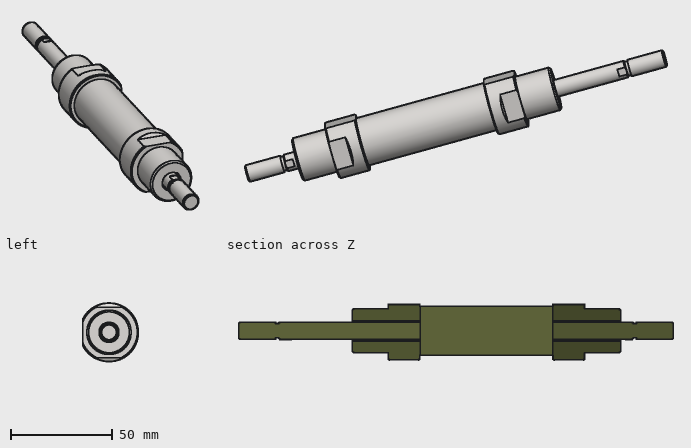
import cadquery as cq
import math

OVERALL_LENGTH = 215.0
LEFT_ROD_REACH = 56.1
RIGHT_ROD_REACH = 26.0
NOSE_LENGTH = 17.8
COLLAR_LENGTH = 15.7
LEFT_NOSE_X = -OVERALL_LENGTH / 2 + LEFT_ROD_REACH
RIGHT_NOSE_X = OVERALL_LENGTH / 2 - RIGHT_ROD_REACH
COVER_LENGTH = NOSE_LENGTH + COLLAR_LENGTH

BARREL_DIAMETER = 24.3
BARREL_LENGTH = RIGHT_NOSE_X - LEFT_NOSE_X - 2 * COVER_LENGTH

NOSE_DIAMETER = 22.0
NOSE_CHAMFER = 0.9
COLLAR_DIAMETER = 29.0
COLLAR_CHAMFER = 0.54
COLLAR_WIDTH = 27.5
SIDE_FLAT_Y = COLLAR_WIDTH - COLLAR_DIAMETER / 2
WRENCH_FLAT_ACROSS = 25.0
WRENCH_FLAT_LENGTH = 8.8
WRENCH_WALL_ANGLE = 25.0
ROD_BORE_DIAMETER = 9.9

ROD_DIAMETER = 8.5
THREAD_LENGTH = 18.3
ROD_TIP_CHAMFER = 0.6
SHANK_CHAMFER = 0.54
NECK_DIAMETER = 7.3
NECK_LENGTH = 1.5
ROD_FLAT_ACROSS = 7.7
ROD_FLAT_LENGTH = 4.3


def cylinder(start_x, length, diameter):
    """Cylinder on the X axis that starts at start_x and runs toward +X."""
    return cq.Workplane("YZ", origin=(start_x, 0, 0)).circle(diameter / 2).extrude(length)


def wrench_flat_cut():
    """Cutter for the +Z wrench flat of a cover whose nose face is at X = 0."""
    floor_z = WRENCH_FLAT_ACROSS / 2
    top_z = COLLAR_DIAMETER / 2
    wall_lean = (top_z - floor_z) * math.tan(math.radians(WRENCH_WALL_ANGLE))
    wall_x = NOSE_LENGTH + WRENCH_FLAT_LENGTH
    profile = [
        (NOSE_LENGTH, floor_z),
        (wall_x, floor_z),
        (wall_x + wall_lean, top_z),
        (NOSE_LENGTH, top_z),
    ]
    return cq.Workplane("XZ").polyline(profile).close().extrude(COLLAR_DIAMETER / 2, both=True)


def make_cover():
    """End cover with its nose face at X = 0 and its barrel face toward +X."""
    nose = cylinder(0, NOSE_LENGTH, NOSE_DIAMETER).faces("<X").chamfer(NOSE_CHAMFER)
    collar = cylinder(NOSE_LENGTH, COLLAR_LENGTH, COLLAR_DIAMETER)
    collar = collar.faces("<X or >X").chamfer(COLLAR_CHAMFER)

    side_slab = cq.Workplane("XY").box(
        COLLAR_LENGTH, COLLAR_DIAMETER, COLLAR_DIAMETER, centered=(False, False, True)
    ).translate((NOSE_LENGTH, SIDE_FLAT_Y, 0))
    upper_flat = wrench_flat_cut()
    lower_flat = upper_flat.mirror("XY")
    collar = collar.cut(side_slab).cut(upper_flat).cut(lower_flat)

    return nose.union(collar).cut(cylinder(0, COVER_LENGTH, ROD_BORE_DIAMETER))


def make_rod(reach):
    """Rod with its tip at X = 0; it sticks out by reach and runs through the cover."""
    neck_end = THREAD_LENGTH + NECK_LENGTH
    thread = cylinder(0, THREAD_LENGTH, ROD_DIAMETER).faces("<X").chamfer(ROD_TIP_CHAMFER)
    neck = cylinder(THREAD_LENGTH, NECK_LENGTH, NECK_DIAMETER)
    shank_length = reach + COVER_LENGTH - neck_end
    shank = cylinder(neck_end, shank_length, ROD_DIAMETER).faces("<X").chamfer(SHANK_CHAMFER)
    for side in (1, -1):
        flat_slab = cq.Workplane("XY").box(
            ROD_FLAT_LENGTH, ROD_DIAMETER, ROD_DIAMETER, centered=(False, True, True)
        ).translate((neck_end, 0, side * (ROD_FLAT_ACROSS + ROD_DIAMETER) / 2))
        shank = shank.cut(flat_slab)
    return thread.union(neck).union(shank)


barrel = cylinder(LEFT_NOSE_X + COVER_LENGTH, BARREL_LENGTH, BARREL_DIAMETER)

covers = []
rods = []
for at_right_end, reach in ((False, LEFT_ROD_REACH), (True, RIGHT_ROD_REACH)):
    cover = make_cover().translate((reach - OVERALL_LENGTH / 2, 0, 0))
    rod = make_rod(reach).translate((-OVERALL_LENGTH / 2, 0, 0))
    if at_right_end:
        cover = cover.mirror("YZ")
        rod = rod.mirror("YZ")
    covers.append(cover.val())
    rods.append(rod.val())

result = cq.Compound.makeCompound([barrel.val(), *covers, *rods])